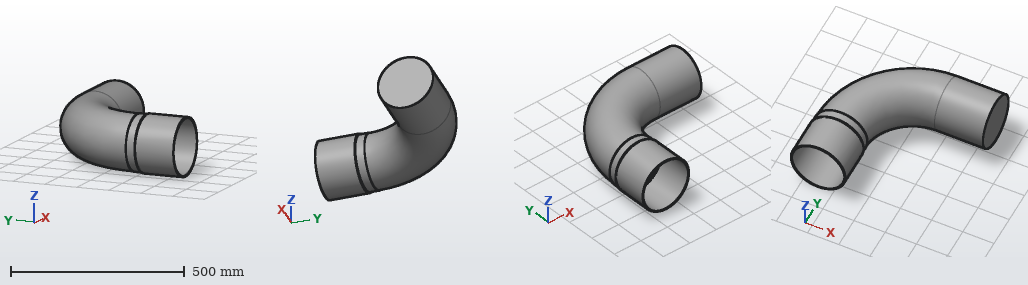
import cadquery as cq

overall_x = 471.5
overall_y = 463.0
pipe_diameter = 168.5
collar_diameter = 170.0
socket_diameter = 175.0
socket_bore = pipe_diameter
socket_length = 122.5
shoulder_length = 2.0
bend_radius = 228.5
bend_angle = 90

shoulder_step = (socket_diameter - collar_diameter) / 2
bore_depth = socket_length - shoulder_length
bend_end_y = overall_y - pipe_diameter / 2
bend_start_y = bend_end_y - bend_radius
spigot_length = overall_x - socket_diameter / 2 - bend_radius


def inlet_cylinder(diameter, length):
    """Cylinder along +Y from the socket mouth."""
    return cq.Workplane("XZ").circle(diameter / 2).extrude(-length)


collar = inlet_cylinder(collar_diameter, bend_start_y)

socket = inlet_cylinder(socket_diameter, socket_length)
socket = socket.faces(">Y").chamfer(shoulder_length, shoulder_step)

bend = (
    cq.Workplane("XZ", origin=(0, bend_start_y, 0))
    .circle(pipe_diameter / 2)
    .revolve(bend_angle, (bend_radius, 0), (bend_radius, -1))
)

spigot = (
    cq.Workplane("YZ", origin=(bend_radius, bend_end_y, 0))
    .circle(pipe_diameter / 2)
    .extrude(spigot_length)
)

body = collar.union(socket).union(bend).union(spigot)
result = body.cut(inlet_cylinder(socket_bore, bore_depth))